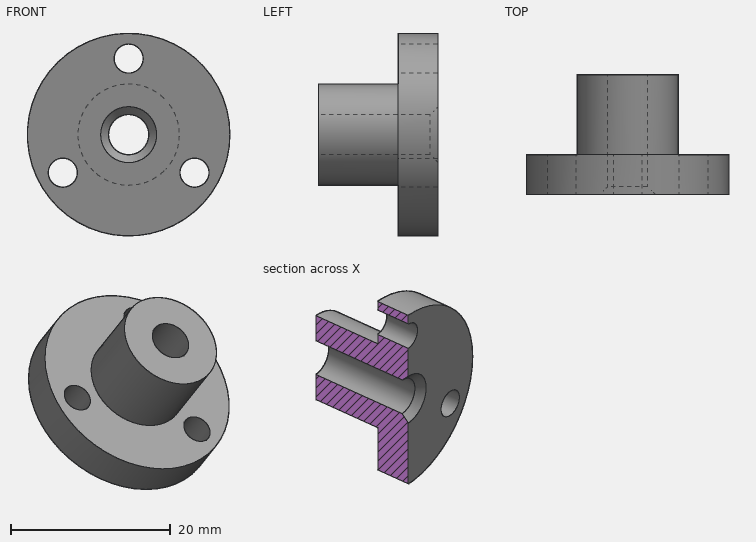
import cadquery as cq

flange_diameter = 25.4
flange_thickness = 5.0
hub_diameter = flange_diameter / 2
total_length = 15.0

bore_diameter = 5.0
countersink_diameter = 7.0
countersink_angle = 90.0

bolt_hole_diameter = 3.6
bolt_circle_diameter = 19.05
bolt_hole_count = 3
first_bolt_angle = 90.0


def make_body():
    """Round flange with a hub rising from its back face towards +Y."""
    hub = cq.Workplane("XZ").circle(hub_diameter / 2).extrude(-total_length)
    flange = cq.Workplane("XZ").circle(flange_diameter / 2).extrude(-flange_thickness)
    return flange.union(hub)


def cut_bore(body):
    """Through bore, countersunk at the flange front face."""
    return body.faces("<Y").workplane(origin=(0, 0, 0)).cskHole(
        bore_diameter, countersink_diameter, countersink_angle
    )


def cut_bolt_holes(body):
    """Evenly spaced through holes in the flange."""
    holes = (
        cq.Workplane("XZ")
        .polarArray(bolt_circle_diameter / 2, first_bolt_angle, 360, bolt_hole_count)
        .circle(bolt_hole_diameter / 2)
        .extrude(-flange_thickness)
    )
    return body.cut(holes)


result = cut_bolt_holes(cut_bore(make_body()))